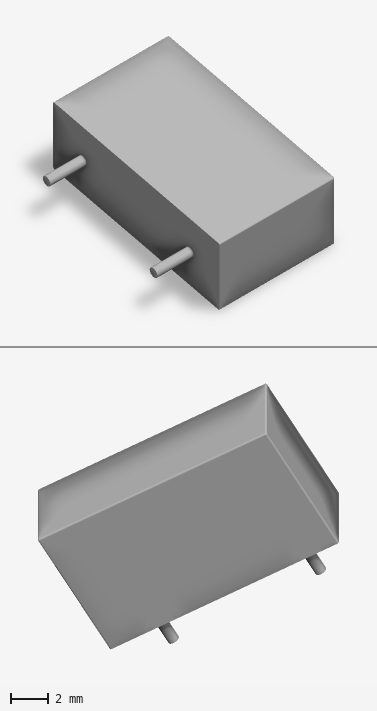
import cadquery as cq

width = 14.0
height = 5.0
total_depth = 10.5

pin_length = 2.5
pin_diameter = 0.65
pin_spacing = 9.0

body_depth = total_depth - pin_length
edge_radius = 0.1


def make_body():
    """Box with its front face at Y = 0; every edge is rounded except those around the front face."""
    box = cq.Workplane("XY").box(width, body_depth, height, centered=(True, False, True))
    return box.edges("|Y or >Y").fillet(edge_radius)


def make_pins():
    """Two round pins pointing toward -Y from the front face, level with the body centre."""
    pin_centers = [(-pin_spacing / 2, 0), (pin_spacing / 2, 0)]
    return cq.Workplane("XZ").pushPoints(pin_centers).circle(pin_diameter / 2).extrude(pin_length)


result = make_body().union(make_pins())